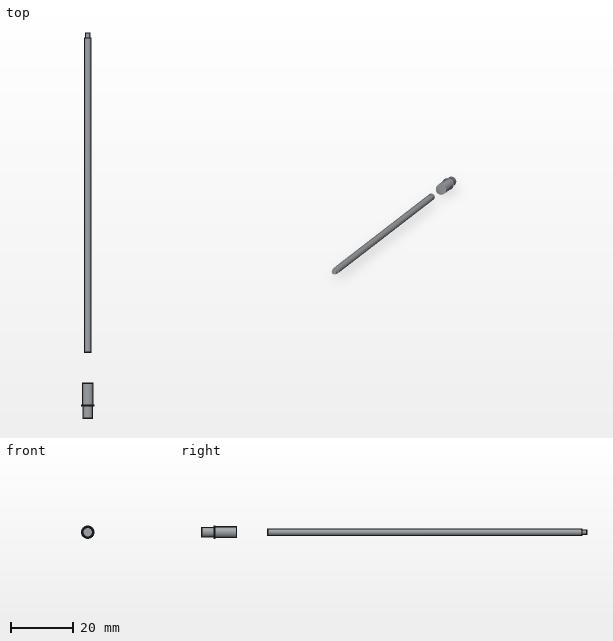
import cadquery as cq

overall_length = 123.71

flange_diameter = 3.93
flange_width = 0.3
barrel_diameter = 3.5
nose_diameter = 3.1
nose_length = 3.95
plug_length = 11.3

sleeve_diameter = 2.2
core_diameter = 1.5
core_start = 21.2
bare_core_length = 1.6
sleeve_end = overall_length - bare_core_length


def cylinder_along_y(diameter, start, end):
    """Solid cylinder on the Y axis between two Y positions."""
    base = cq.Workplane("XZ", origin=(0, start, 0))
    return base.circle(diameter / 2).extrude(start - end)


def make_plug():
    """Thinner nose, thin flange and thicker barrel in one piece."""
    flange_end = nose_length + flange_width
    nose = cylinder_along_y(nose_diameter, 0, nose_length)
    flange = cylinder_along_y(flange_diameter, nose_length, flange_end)
    barrel = cylinder_along_y(barrel_diameter, flange_end, plug_length)
    return nose.union(flange).union(barrel)


def make_core():
    """Long thin rod running through the sleeve and out of its far end."""
    return cylinder_along_y(core_diameter, core_start, overall_length)


def make_sleeve():
    """Tube that fits closely around the core."""
    bore = cylinder_along_y(core_diameter, core_start, sleeve_end)
    return cylinder_along_y(sleeve_diameter, core_start, sleeve_end).cut(bore)


plug = make_plug()
core = make_core()
sleeve = make_sleeve()

result = cq.Compound.makeCompound([plug.val(), core.val(), sleeve.val()])